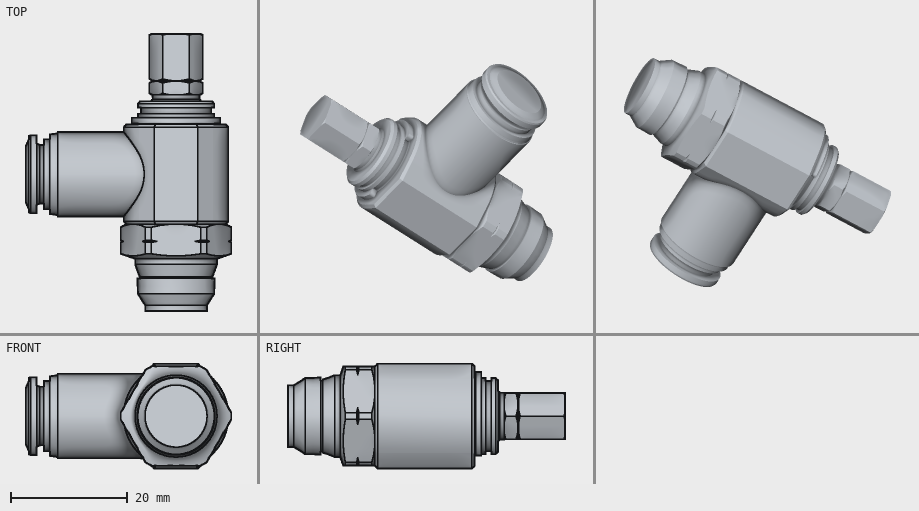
import cadquery as cq
import math


barrel_size = 18.0
barrel_top = 8.55
barrel_bottom = -8.55
barrel_chamfer = 0.48
bore_radius = 6.55

port_end = -25.8
port_flange_face = -25.2
port_flange_back = -23.9
port_neck_start = -23.3
port_collar_face = -22.65
port_step_face = -21.6
port_step_back = -20.55
port_tube_face = -20.3
port_face_radius = 4.75
port_cone_radius = 6.0
port_flange_radius = 6.7
port_flange_chamfer = 0.3
port_flange_chamfer_depth = 0.15
port_flare_radius = 5.25
port_neck_radius = 5.05
port_collar_radius = 6.05
port_step_radius = 6.85
port_step_taper = 0.15
port_tube_radius = 7.25
port_tube_edge = 0.2

nut_flats = 17.0
nut_radius = 9.5
nut_top_radius = 8.5
nut_bottom_radius = 7.05
nut_top_chamfer = 0.5
nut_bottom_chamfer = 0.85
nut_bottom = -14.5
nut_groove_y = -11.5
nut_groove_depth = 0.4
nut_groove_half_width = 0.2

seat_radius = nut_bottom_radius
seat_bottom = -15.45
seat_cone_bottom = -17.55
seat_cone_radius = 6.25
relief_radius = 6.1
relief_bottom = -17.85
thread_radius = 6.55
thread_top_radius = 6.65
thread_bottom = -20.45
tip_top = -22.4
tip_radius = 5.3
stem_bottom = -23.45

clip_bottom = 8.7
clip_top = 9.7
groove_bottom = 10.4
groove_top = 11.4
groove_radius = 6.05
collar_top = 12.55
collar_chamfer = 0.45
needle_radius = 4.05
knob_neck_radius = 3.8
needle_foot_radius = 4.3
needle_foot_height = 0.35

knob_flats = 8.0
knob_corner_radius = knob_flats / math.sqrt(3)
knob_face_radius = 4.1
knob_chamfer = 0.3
knob_top_chamfer = 0.2
knob_top_face_radius = 4.25
lock_nut_bottom = 13.6
lock_nut_top = 15.9
knob_bottom = 16.05
knob_top = 24.05

clip_radius = 7.6
clip_opening_direction = 242
clip_opening_half_angle = 52
clip_corner_radius = 0.48


def turned_on_y(points):
    """Solid of revolution about the Y axis; points are (radius, y)."""
    return cq.Workplane("XY").polyline(points).close().revolve(360, (0, 0, 0), (0, 1, 0))


def turned_on_x(points):
    """Solid of revolution about the X axis; points are (x, radius)."""
    return cq.Workplane("XY").polyline(points).close().revolve(360, (0, 0, 0), (1, 0, 0))


def plane_at(y):
    """Workplane normal to the stem axis, with local x along X, local y along Z and normal -Y."""
    return cq.Workplane("XZ", origin=(0, y, 0))


def hexagon(flats, bottom, top):
    """Hexagonal prism along Y with two flats facing +Z and -Z."""
    across_corners = 2 * flats / math.sqrt(3)
    return plane_at(top).polygon(6, across_corners).extrude(top - bottom)


def make_barrel():
    """Octagonal block with each X side rounded by an arc tangent to its two 45 degree faces."""
    radius = barrel_size / 2
    flat_half_width = radius * math.tan(math.radians(22.5))
    tangent = radius * math.sqrt(0.5)
    return (
        plane_at(barrel_top)
        .moveTo(-flat_half_width, radius)
        .lineTo(flat_half_width, radius)
        .lineTo(tangent, tangent)
        .threePointArc((radius, 0), (tangent, -tangent))
        .lineTo(flat_half_width, -radius)
        .lineTo(-flat_half_width, -radius)
        .lineTo(-tangent, -tangent)
        .threePointArc((-radius, 0), (-tangent, tangent))
        .close()
        .extrude(barrel_top - barrel_bottom)
        .faces("<Y or >Y")
        .chamfer(barrel_chamfer)
    )


def make_port():
    """Tube port with its release ring, reaching in to the stem axis."""
    return turned_on_x([
        (port_end, 0),
        (port_end, port_face_radius),
        (port_flange_face, port_cone_radius),
        (port_flange_face, port_flange_radius - port_flange_chamfer_depth),
        (port_flange_face + port_flange_chamfer, port_flange_radius),
        (port_flange_back, port_flange_radius),
        (port_flange_back, port_flare_radius),
        (port_neck_start, port_neck_radius),
        (port_collar_face, port_neck_radius),
        (port_collar_face, port_collar_radius),
        (port_step_face, port_collar_radius),
        (port_step_face, port_step_radius),
        (port_step_back, port_step_radius + port_step_taper),
        (port_tube_face, port_tube_radius - port_tube_edge),
        (port_tube_face, port_tube_radius),
        (0, port_tube_radius),
        (0, 0),
    ])


def make_elbow_body():
    bore = plane_at(barrel_top).circle(bore_radius).extrude(barrel_top - barrel_bottom)
    return make_barrel().union(make_port()).cut(bore).solids()


def make_nut():
    """Hexagon with turned corners, chamfered ends and a V groove around its corners."""
    envelope = turned_on_y([
        (0, barrel_bottom),
        (nut_top_radius, barrel_bottom),
        (nut_radius, barrel_bottom - nut_top_chamfer),
        (nut_radius, nut_groove_y + nut_groove_half_width),
        (nut_radius - nut_groove_depth, nut_groove_y),
        (nut_radius, nut_groove_y - nut_groove_half_width),
        (nut_radius, nut_bottom + nut_bottom_chamfer),
        (nut_bottom_radius, nut_bottom),
        (0, nut_bottom),
    ])
    return hexagon(nut_flats, nut_bottom, barrel_bottom).intersect(envelope)


def make_shank():
    """All the turned parts of the stem, from the connection end to the needle in the knob."""
    return turned_on_y([
        (0, stem_bottom),
        (tip_radius, stem_bottom),
        (tip_radius, tip_top),
        (thread_radius, thread_bottom),
        (thread_top_radius, relief_bottom),
        (relief_radius, relief_bottom),
        (relief_radius, seat_cone_bottom),
        (seat_cone_radius, seat_cone_bottom),
        (seat_radius, seat_bottom),
        (seat_radius, nut_bottom),
        (bore_radius, nut_bottom),
        (bore_radius, clip_bottom),
        (groove_radius, clip_bottom),
        (groove_radius, clip_top),
        (bore_radius, clip_top),
        (bore_radius, groove_bottom),
        (groove_radius, groove_bottom),
        (groove_radius, groove_top),
        (bore_radius, groove_top),
        (bore_radius, collar_top - collar_chamfer),
        (bore_radius - collar_chamfer, collar_top),
        (needle_foot_radius, collar_top),
        (needle_radius, collar_top + needle_foot_height),
        (needle_radius, lock_nut_bottom),
        (knob_neck_radius, lock_nut_bottom),
        (knob_neck_radius, knob_bottom),
        (0, knob_bottom),
    ])


def make_knob_hexagon(bottom, top, top_chamfer, top_face_radius):
    """Small hexagon with both ends chamfered on its corners."""
    envelope = turned_on_y([
        (0, bottom),
        (knob_face_radius, bottom),
        (knob_corner_radius, bottom + knob_chamfer),
        (knob_corner_radius, top - top_chamfer),
        (top_face_radius, top),
        (0, top),
    ])
    return hexagon(knob_flats, bottom, top).intersect(envelope)


def make_clip():
    """C-shaped retaining clip around the stem, open towards -X and -Z."""
    start = clip_opening_direction + clip_opening_half_angle
    end = clip_opening_direction + 360 - clip_opening_half_angle
    middle = (start + end) / 2

    def at(radius, angle):
        return (radius * math.cos(math.radians(angle)), radius * math.sin(math.radians(angle)))

    return (
        plane_at(clip_top)
        .moveTo(*at(clip_radius, start))
        .threePointArc(at(clip_radius, middle), at(clip_radius, end))
        .lineTo(*at(groove_radius, end))
        .threePointArc(at(groove_radius, middle), at(groove_radius, start))
        .close()
        .extrude(clip_top - clip_bottom)
        .edges("|Y")
        .fillet(clip_corner_radius)
    )


def make_stem():
    lock_nut = make_knob_hexagon(lock_nut_bottom, lock_nut_top, knob_chamfer, knob_face_radius)
    knob = make_knob_hexagon(knob_bottom, knob_top, knob_top_chamfer, knob_top_face_radius)
    return make_shank().union(make_nut()).union(make_clip()).union(lock_nut).union(knob).solids()


elbow_body = make_elbow_body()
stem = make_stem()

result = cq.Compound.makeCompound([elbow_body.val(), stem.val()])